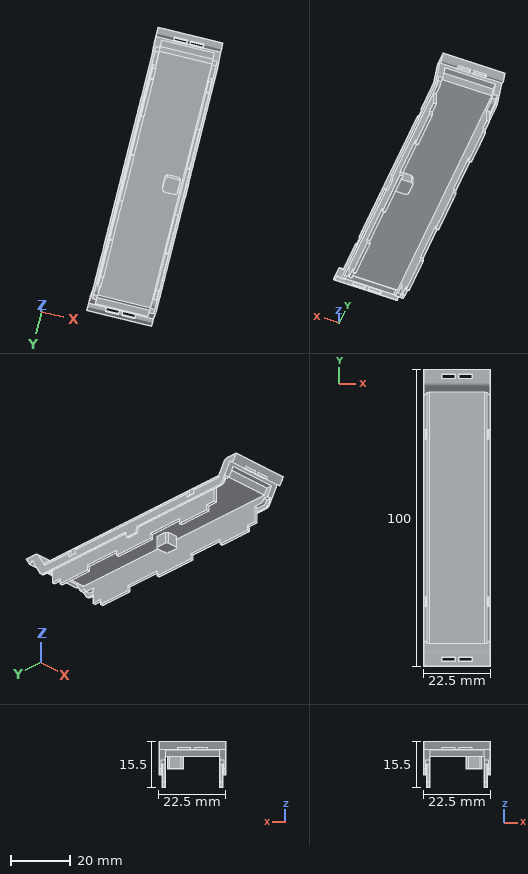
import cadquery as cq
import math

length = 100.0
width = 22.5
height = 15.5

wall = 3.0
skirt_bottom = 6.4
tray_floor = skirt_bottom + wall
end_slope = math.radians(60)
lip_inner_y = 44.7
lip_bend_radius = 1.7
base_bend_radius = 1.7

hook_tip_z = 12.6
hook_tip_radius = 0.3
hook_root_z = 13.6

cover_top = 11.5
cover_shoulder_z = 11.2
cover_flat_width = 18.4
cover_shoulder_width = 20.1

channel_width = 18.3
channel_ceiling = 10.4
end_skin = 1.1
skirt_inner_x = 10.6
gap_ceiling = 7.8
strip_top = 9.2
strip_bend_radius = 1.6

leg_outer_x = 10.2
leg_length = 77.0
leg_bottom = 1.9
outer_foot_length = 13.0
outer_foot_y = 28.4
middle_foot_length = 16.1

tab_top_length = 5.7
tab_bottom_length = 4.2
tab_bottom = 4.2
notch_length = 3.1
notch_y = 28.2
notch_bottom = 8.1
slot_length = 4.5
slot_mouth_width = 1.5
slot_throat_width = 1.1
slot_mouth_depth = 2.0
slot_gap = 1.2
slot_y = 47.7
boss_width = 5.3
boss_side_x = 3.1
boss_bottom = 6.2
boss_chamfer = 0.7

half_length = length / 2
half_width = width / 2
channel_side = channel_width / 2
slot_x = (slot_gap + slot_length) / 2


def run(rise):
    """Horizontal distance covered by the end slope over a given rise."""
    return rise / math.tan(end_slope)


def slope_y(z, depth=0.0):
    """Y of the end wall at height z, a given depth outward from its inner face."""
    return lip_inner_y - run(height - z) + depth / math.sin(end_slope)


def extrude_along_x(points, x_min, x_max):
    """Prism along X with a closed outline of (Y, Z) points."""
    return cq.Workplane("YZ").workplane(offset=x_min).polyline(points).close().extrude(x_max - x_min)


def mirrored_outline(points):
    """Close an outline that is symmetric about Y = 0 from its +Y half."""
    return points + [(-y, z) for y, z in reversed(points)]


def block(x_min, x_max, y_centre, y_length, z_min, z_max):
    """Box between X and Z limits, centred on a given Y."""
    size = (x_max - x_min, y_length, z_max - z_min)
    centre = ((x_min + x_max) / 2, y_centre, (z_min + z_max) / 2)
    return cq.Workplane("XY").box(*size).translate(centre)


def both_sides(solid):
    """A solid together with its mirror image across X = 0."""
    return solid.union(solid.mirror("YZ"))


def bend_edges(solid, y, z, radius):
    """Round the two edges along X that pass through (+y, z) and (-y, z)."""
    reach = 0.1
    for side in (-1, 1):
        corner = cq.selectors.BoxSelector(
            (-width, side * y - reach, z - reach), (width, side * y + reach, z + reach)
        )
        solid = solid.edges(corner).fillet(radius)
    return solid


def make_tray():
    hook_tip_y = half_length - run(height - hook_tip_z)
    half_outline = [
        (slope_y(skirt_bottom, wall), skirt_bottom),
        (slope_y(hook_root_z, wall), hook_root_z),
        (hook_tip_y, hook_tip_z),
        (half_length, height),
        (lip_inner_y, height),
        (slope_y(tray_floor), tray_floor),
    ]
    tray = extrude_along_x(mirrored_outline(half_outline), -half_width, half_width)
    tray = bend_edges(tray, hook_tip_y, hook_tip_z, hook_tip_radius)
    tray = bend_edges(tray, lip_inner_y, height, lip_bend_radius)
    return bend_edges(tray, slope_y(skirt_bottom, wall), skirt_bottom, base_bend_radius)


def make_cover():
    half_outline = [
        (half_width, tray_floor),
        (cover_shoulder_width / 2, cover_shoulder_z),
        (cover_flat_width / 2, cover_top),
    ]
    bar = cq.Workplane("XZ").polyline(mirrored_outline(half_outline)).close().extrude(half_length, both=True)
    between_walls = mirrored_outline([(slope_y(tray_floor), tray_floor), (slope_y(cover_top), cover_top)])
    return bar.intersect(extrude_along_x(between_walls, -half_width, half_width))


def make_channel():
    half_outline = [
        (half_length, 0),
        (half_length, hook_tip_z),
        (slope_y(hook_tip_z, end_skin), hook_tip_z),
        (slope_y(channel_ceiling, end_skin), channel_ceiling),
    ]
    return extrude_along_x(mirrored_outline(half_outline), -channel_side, channel_side)


def make_side_recess():
    """Space between the channel and one skirt, stepped up under the end walls."""
    inner_y = slope_y(gap_ceiling, tray_floor - gap_ceiling)
    half_outline = [
        (half_length, 0),
        (half_length, strip_top),
        (slope_y(strip_top, tray_floor - gap_ceiling), strip_top),
        (inner_y, gap_ceiling),
    ]
    recess = extrude_along_x(mirrored_outline(half_outline), channel_side, skirt_inner_x)
    return bend_edges(recess, inner_y, gap_ceiling, strip_bend_radius)


def make_leg():
    leg = block(channel_side, leg_outer_x, 0, leg_length, leg_bottom, gap_ceiling)
    feet = (
        (-outer_foot_y, outer_foot_length),
        (0, middle_foot_length),
        (outer_foot_y, outer_foot_length),
    )
    for foot_y, foot_length in feet:
        leg = leg.union(block(channel_side, leg_outer_x, foot_y, foot_length, 0, leg_bottom))
    return leg


def make_tab():
    half_outline = [(tab_top_length / 2, skirt_bottom), (tab_bottom_length / 2, tab_bottom)]
    return extrude_along_x(mirrored_outline(half_outline), skirt_inner_x, half_width)


def make_notch(notch_centre):
    """Notch in the cover edge that opens into the gap behind the skirt."""
    notch = block(leg_outer_x, half_width, notch_centre, notch_length, notch_bottom, cover_top)
    opening = block(leg_outer_x, skirt_inner_x, notch_centre, notch_length, gap_ceiling, cover_top)
    return notch.union(opening)


def make_slots():
    """Two slots through each end lip, narrower below the mouth."""
    centres = [(x, y) for x in (-slot_x, slot_x) for y in (-slot_y, slot_y)]
    throats = cq.Workplane("XY").pushPoints(centres).rect(slot_length, slot_throat_width).extrude(height)
    top = cq.Workplane("XY").workplane(offset=height)
    mouths = top.pushPoints(centres).rect(slot_length, slot_mouth_width).extrude(-slot_mouth_depth)
    return throats.union(mouths)


def make_boss():
    far_side_x = boss_side_x + boss_width
    boss = block(boss_side_x, far_side_x, 0, boss_width, boss_bottom, channel_ceiling)
    return boss.edges("|Z").chamfer(boss_chamfer)


result = make_tray().union(make_cover())
result = result.cut(make_channel()).cut(both_sides(make_side_recess()))
result = result.union(both_sides(make_leg())).union(both_sides(make_tab())).union(make_boss())
for notch_centre in (-notch_y, notch_y):
    result = result.cut(both_sides(make_notch(notch_centre)))
result = result.cut(make_slots())